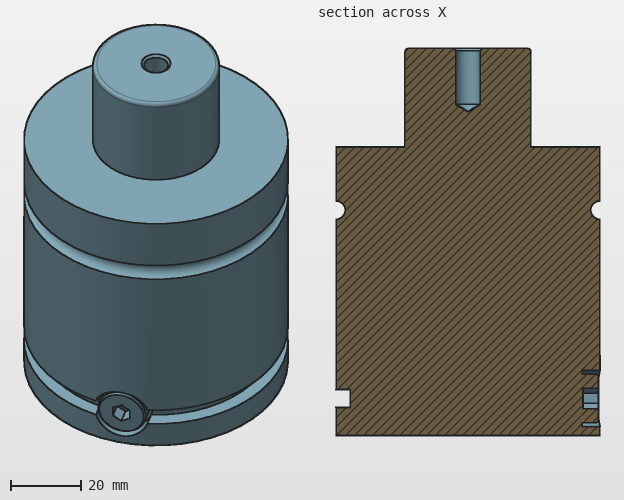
import cadquery as cq
import math

total_height = 110.0
body_diameter = 75.0
body_height = 82.0
rod_diameter = 36.0
rod_edge_radius = 1.1

round_groove_height = 64.0
round_groove_radius = 2.5

clamp_groove_bottom = 8.0
clamp_groove_width = 5.1
clamp_groove_depth = 4.0

rod_hole_diameter = 6.8
rod_hole_depth = 16.0
rod_hole_mouth_diameter = 8.2
drill_point_angle = 118.0

port_height = 10.6
port_diameter = 16.0
port_floor_depth = 5.1
plug_diameter = 14.0
plug_recess = 0.4
plug_chamfer_radial = 0.4
plug_chamfer_length = 0.7
plug_length = 10.1
socket_across_flats = 5.0
socket_depth = 4.4

body_radius = body_diameter / 2
rod_radius = rod_diameter / 2


def make_body():
    """Revolve the body and rod, including both grooves and the rounded rod edge."""
    clamp_floor_radius = body_radius - clamp_groove_depth
    clamp_groove_top = clamp_groove_bottom + clamp_groove_width
    profile = (
        cq.Workplane("XZ")
        .lineTo(body_radius, 0)
        .lineTo(body_radius, clamp_groove_bottom)
        .lineTo(clamp_floor_radius, clamp_groove_bottom)
        .lineTo(clamp_floor_radius, clamp_groove_top)
        .lineTo(body_radius, clamp_groove_top)
        .lineTo(body_radius, round_groove_height - round_groove_radius)
        .threePointArc(
            (body_radius - round_groove_radius, round_groove_height),
            (body_radius, round_groove_height + round_groove_radius),
        )
        .lineTo(body_radius, body_height)
        .lineTo(rod_radius, body_height)
        .lineTo(rod_radius, total_height - rod_edge_radius)
        .radiusArc((rod_radius - rod_edge_radius, total_height), -rod_edge_radius)
        .lineTo(0, total_height)
        .close()
    )
    return profile.revolve(360, (0, 0, 0), (0, 1, 0))


def make_rod_hole():
    """Drilled hole with a 45 degree mouth chamfer and a conical bottom."""
    hole_radius = rod_hole_diameter / 2
    mouth_radius = rod_hole_mouth_diameter / 2
    mouth_depth = mouth_radius - hole_radius
    point_length = hole_radius / math.tan(math.radians(drill_point_angle / 2))
    floor_height = total_height - rod_hole_depth
    profile = (
        cq.Workplane("XZ")
        .moveTo(0, total_height)
        .lineTo(mouth_radius, total_height)
        .lineTo(hole_radius, total_height - mouth_depth)
        .lineTo(hole_radius, floor_height)
        .lineTo(0, floor_height - point_length)
        .close()
    )
    return profile.revolve(360, (0, 0, 0), (0, 1, 0))


def make_port():
    """Round pocket that opens to the -Y side and crosses the clamping groove."""
    floor_plane = cq.Workplane("XZ", origin=(0, port_floor_depth - body_radius, port_height))
    return floor_plane.circle(port_diameter / 2).extrude(body_radius)


def make_plug():
    """Plug standing in the port, with a chamfered rim and a hexagon socket."""
    plug_radius = plug_diameter / 2
    face_y = plug_recess - body_radius
    root_y = face_y + plug_length
    profile = (
        cq.Workplane("XY", origin=(0, 0, port_height))
        .moveTo(0, root_y)
        .lineTo(plug_radius, root_y)
        .lineTo(plug_radius, face_y + plug_chamfer_length)
        .lineTo(plug_radius - plug_chamfer_radial, face_y)
        .lineTo(0, face_y)
        .close()
    )
    plug = profile.revolve(360, (0, 0, 0), (0, 1, 0))

    socket_across_corners = socket_across_flats / math.cos(math.radians(30))
    socket = (
        cq.Workplane("XZ", origin=(0, face_y, port_height))
        .transformed(rotate=(0, 0, 30))
        .polygon(6, socket_across_corners)
        .extrude(-socket_depth)
    )
    return plug.cut(socket)


result = make_body().cut(make_rod_hole()).cut(make_port()).union(make_plug())